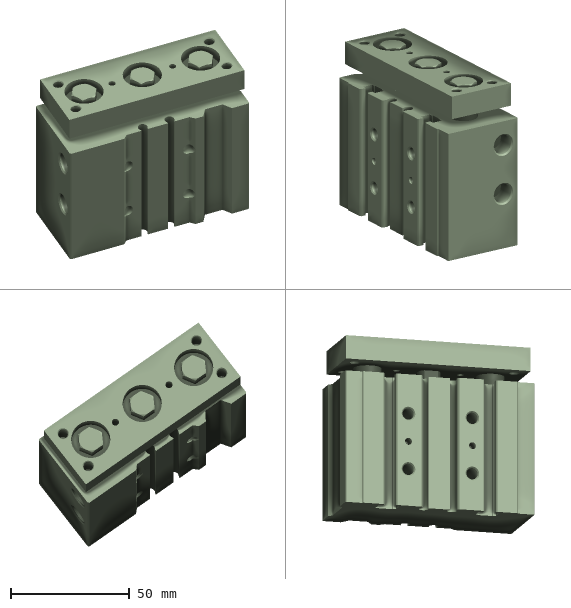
import cadquery as cq
import math


length = 83.0
width = 36.0
total_height = 73.0
plate_thickness = 10.1
rod_gap = 5.8
housing_height = total_height - plate_thickness - rod_gap
plate_bottom = housing_height + rod_gap
side = width / 2
end = length / 2

corner_chamfer = 0.5
margin_chamfer = 0.3
edge_margin_depth = 0.6
edge_margin_y = 34.3
rib_face = 16.1
groove_outer_y = 7.7
groove_inner_y = 4.65
lip_chamfer = 0.6
right_recess_half = 14.6

groove_diameter = 4.15
groove_center_x = 14.1
t_slot_y = 21.9
t_slot_mouth = 5.1
t_slot_inner = 9.0
t_slot_lip_x = 15.3
t_slot_floor_x = 10.8
t_slot_relief_width = 5.8
t_slot_relief_depth = 0.5
v_groove_y = 26.7
v_groove_mouth = 13.3
v_groove_floor = 8.1
v_groove_depth = 4.0
end_recess_width = 18.1
end_recess_depth = 1.5

hole_y = 14.0
mount_hole_diameter = 4.9
mount_hole_mouth = 6.0
mount_hole_heights = (15.9, 40.0)
dowel_diameter = 3.0
dowel_depth = 6.0
port_x = 10.45
port_heights = (24.5, 46.5)
port_diameter = 8.55
port_mouth = 9.8
port_depth = 8.3

plate_width = 29.9
plate_length = 81.0
rod_y = 27.0
guide_rod_diameter = 12.0
piston_rod_diameter = 10.0
rod_insertion = 41.5
flat_across = 8.0
flat_bottom = 59.1
counterbore_diameter = 16.5
counterbore_depth = 5.0
hex_across_flats = 10.0
hex_top_diameter = 10.0
hex_chamfer_angle = 30.0
plate_hole_x = 9.0
plate_hole_y = 34.95
plate_hole_diameter = 4.15
plate_hole_mouth = 4.9

rods = (
    (-rod_y, guide_rod_diameter),
    (0, piston_rod_diameter),
    (rod_y, guide_rod_diameter),
)


def prism(points):
    """Closed XY outline extruded through the housing height."""
    return cq.Workplane("XY").polyline(points).close().extrude(housing_height)


def cylinder(diameter, depth, start, direction):
    return cq.Workplane(cq.Solid.makeCylinder(diameter / 2, depth, cq.Vector(*start), cq.Vector(*direction)))


def chamfered_hole(diameter, mouth, depth, start, direction):
    """Hole cutter with a 45 degree countersunk mouth."""
    countersink = cq.Solid.makeCone(
        mouth / 2, diameter / 2, (mouth - diameter) / 2, cq.Vector(*start), cq.Vector(*direction)
    )
    return cylinder(diameter, depth, start, direction).union(cq.Workplane(countersink))


def housing_outline():
    margin_x = side - edge_margin_depth
    left_half = [
        (-margin_x + margin_chamfer, -end),
        (-margin_x, -end + margin_chamfer),
        (-margin_x, -edge_margin_y),
        (-side, -edge_margin_y + edge_margin_depth),
        (-side, -groove_outer_y - lip_chamfer),
        (-side + lip_chamfer, -groove_outer_y),
        (-rib_face, -groove_outer_y),
    ]
    right_half = [
        (rib_face, right_recess_half),
        (side, right_recess_half + side - rib_face),
        (side, end - corner_chamfer),
        (side - corner_chamfer, end),
    ]
    left = left_half + [(x, -y) for x, y in reversed(left_half)]
    right = [(x, -y) for x, y in reversed(right_half)] + right_half
    return left + right[::-1]


def t_slot(y):
    mouth_half = t_slot_mouth / 2
    inner_half = t_slot_inner / 2
    relief_half = t_slot_relief_width / 2
    relief_x = -t_slot_floor_x + t_slot_relief_depth
    half = [
        (-side, mouth_half + lip_chamfer),
        (-side + lip_chamfer, mouth_half),
        (-t_slot_lip_x, mouth_half),
        (-t_slot_lip_x, inner_half),
        (-t_slot_floor_x, inner_half),
        (-t_slot_floor_x, relief_half),
        (relief_x, relief_half),
    ]
    outline = half + [(x, -dy) for x, dy in reversed(half)]
    return prism([(x, y + dy) for x, dy in outline])


def round_groove(x_sign, y_sign):
    center = (x_sign * groove_center_x, y_sign * (groove_outer_y + groove_inner_y) / 2)
    mouth = cq.Workplane("XY").box(
        side - groove_center_x, groove_outer_y - groove_inner_y, housing_height, centered=(True, True, False)
    )
    mouth = mouth.translate((x_sign * (side + groove_center_x) / 2, center[1], 0))
    return mouth.union(cylinder(groove_diameter, housing_height, (*center, 0), (0, 0, 1)))


def v_groove():
    floor_x = side - v_groove_depth
    return prism([
        (side, v_groove_y - v_groove_mouth / 2),
        (side, v_groove_y + v_groove_mouth / 2),
        (floor_x, v_groove_y + v_groove_floor / 2),
        (floor_x, v_groove_y - v_groove_floor / 2),
    ])


def end_recess():
    top_half = end_recess_width / 2
    floor_half = top_half - end_recess_depth
    floor_y = end - end_recess_depth
    return prism([(-top_half, end), (top_half, end), (floor_half, floor_y), (-floor_half, floor_y)])


def make_housing():
    body = prism(housing_outline()).cut(v_groove()).cut(end_recess())
    for y_sign in (-1, 1):
        body = body.cut(t_slot(y_sign * t_slot_y))
        for x_sign in (-1, 1):
            body = body.cut(round_groove(x_sign, y_sign))

    dowel_height = sum(mount_hole_heights) / 2
    for y in (-hole_y, hole_y):
        for z in mount_hole_heights:
            body = body.cut(chamfered_hole(mount_hole_diameter, mount_hole_mouth, width, (-side, y, z), (1, 0, 0)))
        body = body.cut(cylinder(dowel_diameter, dowel_depth, (-side, y, dowel_height), (1, 0, 0)))

    for z in port_heights:
        body = body.cut(chamfered_hole(port_diameter, port_mouth, port_depth, (port_x, -end, z), (0, 1, 0)))

    for y, diameter in rods:
        bore_bottom = housing_height - rod_insertion
        body = body.cut(cylinder(diameter, rod_insertion, (0, y, bore_bottom), (0, 0, 1)))
    return body


def hex_head(y):
    """Hexagon standing in a counterbore, its top corners trimmed by a cone."""
    across_corners = hex_across_flats / math.cos(math.radians(30))
    floor = total_height - counterbore_depth
    corner_drop = (across_corners - hex_top_diameter) / 2 * math.tan(math.radians(hex_chamfer_angle))
    head = (
        cq.Workplane("XY").polygon(6, across_corners).extrude(counterbore_depth)
        .rotate((0, 0, 0), (0, 0, 1), 30)
    )
    envelope = (
        cq.Workplane("XY").circle(across_corners / 2).extrude(counterbore_depth - corner_drop)
        .union(cq.Workplane(cq.Solid.makeCone(
            across_corners / 2, hex_top_diameter / 2, corner_drop,
            cq.Vector(0, 0, counterbore_depth - corner_drop),
        )))
    )
    return head.intersect(envelope).translate((0, y, floor))


def wrench_flats():
    """Two blocks that trim the piston rod just below the plate."""
    block_size = piston_rod_diameter
    flats = cq.Workplane("XY")
    for x_sign in (-1, 1):
        block = cq.Workplane("XY").box(
            block_size, block_size, plate_bottom - flat_bottom, centered=(True, True, False)
        )
        flats = flats.add(block.translate((x_sign * (flat_across + block_size) / 2, 0, flat_bottom)))
    return flats.combine()


def make_rods():
    rod_bottom = housing_height - rod_insertion
    shafts = [
        cylinder(diameter, plate_bottom - rod_bottom, (0, y, rod_bottom), (0, 0, 1)) for y, diameter in rods
    ]
    guide_front, piston, guide_rear = shafts
    return guide_front, piston.cut(wrench_flats()), guide_rear


def make_slide():
    body = cq.Workplane("XY").box(
        plate_width, plate_length, plate_thickness, centered=(True, True, False)
    ).translate((0, 0, plate_bottom))

    for x in (-plate_hole_x, plate_hole_x):
        for y in (-plate_hole_y, plate_hole_y):
            start = (x, y, total_height)
            body = body.cut(
                chamfered_hole(plate_hole_diameter, plate_hole_mouth, plate_thickness, start, (0, 0, -1))
            )
    for y in (-hole_y, hole_y):
        body = body.cut(cylinder(dowel_diameter, plate_thickness, (0, y, total_height), (0, 0, -1)))

    for (y, _), rod in zip(rods, make_rods()):
        counterbore = cylinder(counterbore_diameter, counterbore_depth, (0, y, total_height), (0, 0, -1))
        body = body.cut(counterbore).union(hex_head(y)).union(rod)
    return body


housing = make_housing()
slide = make_slide()

result = cq.Compound.makeCompound([housing.val(), slide.val()])